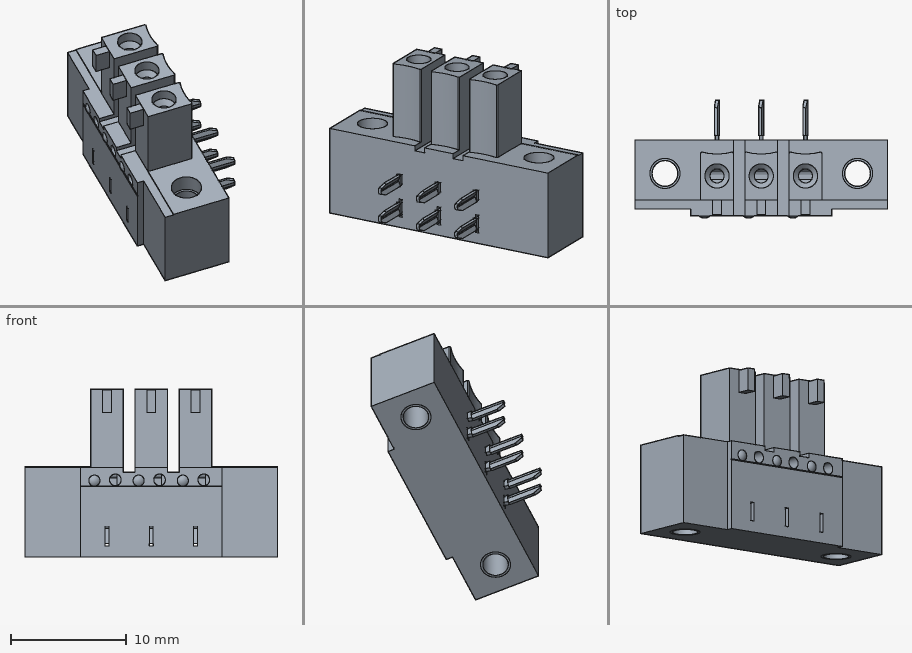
import cadquery as cq
import math


base_width = 21.82
base_front_y = -5.98
base_height = 7.81
deck_rear_y = -5.2
deck_height = 7.75
panel_width = 12.18
panel_front_y = -6.57
groove_top = 6.15
groove_height = 0.07
groove_depth = 0.07

pole_pitch = 3.82
pole_xs = [-pole_pitch, 0.0, pole_pitch]
pole_width = 2.84
pole_rear_y = -1.05
corner_width = 0.09
corner_length = 0.1
pole_rear_sag = 0.17
total_height = 14.5
gap_floor = 7.35

tab_width = 0.75
tab_front_y = -6.44
tab_bottom = 12.48
tab_top = 14.45

bore_y = -3.12
mouth_diameter = 2.1
mouth_depth = 0.95
throat_diameter = 1.2
cone_depth = (mouth_diameter - throat_diameter) / 2

test_hole_diameter = 1.0
test_hole_z = 6.68
test_hole_offset = 0.72
dome_diameter = 0.95
dome_z = 6.61
dome_offset = -1.1
dome_rise = 0.2
dome_root = 0.22

insert_spacing = 16.63
insert_xs = [-insert_spacing / 2, insert_spacing / 2]
insert_y = -2.9
insert_outer_diameter = 2.6
insert_inner_diameter = 2.2
insert_top = base_height - 1.53

cavity_width = 1.75
cavity_front_y = -5.24
cavity_rear_y = -1.75
cavity_bottom = 5.24
cavity_top = 7.53
nose_radius = 0.3
nose_bottom = 6.83
channel_rear_y = -2.53
channel_rear_slope = 0.22
channel_floor_rear_y = -2.97
channel_floor_front_y = -3.43
channel_wall_depth = 0.33
channel_front_slope = 0.33

slot_width = 0.33
slot_bottom = 0.98
slot_top = 2.62
blade_front_y = -2.62
blade_rear_y = -0.65
arm_bottom = 1.18
arm_top = 2.49
arm_front_y = -5.67
arm_front_slope = 0.44

tail_zs = [1.9, 4.47]
tail_tip_y = 3.43
neck_end_y = 0.4
neck_height = 0.87
tail_width = 0.45
tail_height = 1.1
tail_mouth_height = 0.95
tail_end_x = 0.02
tail_fold_height = 0.3
tail_floor_x = -0.02
tail_floor_height = 0.13
tail_taper_length = 0.72
tail_tip_height = 0.57


def box(x_min, x_max, y_min, y_max, z_min, z_max):
    size = (x_max - x_min, y_max - y_min, z_max - z_min)
    return cq.Workplane("XY").box(*size, centered=False).translate((x_min, y_min, z_min))


def centred_box(x, width, y_min, y_max, z_min, z_max):
    return box(x - width / 2, x + width / 2, y_min, y_max, z_min, z_max)


def upright_cylinder(x, y, diameter, z_min, z_max):
    return cq.Workplane("XY", origin=(x, y, z_min)).circle(diameter / 2).extrude(z_max - z_min)


def base():
    body = centred_box(0, base_width, base_front_y, 0, 0, base_height)
    body = body.union(centred_box(0, panel_width, panel_front_y, 0, 0, base_height))
    deck_relief = centred_box(0, base_width, panel_front_y, deck_rear_y, deck_height, base_height)
    return body.cut(deck_relief)


def panel_groove():
    return centred_box(0, panel_width, panel_front_y - dome_rise, panel_front_y + groove_depth,
                       groove_top - groove_height, groove_top)


def pole(x):
    half = pole_width / 2
    column = (
        cq.Workplane("XY", origin=(x, 0, gap_floor))
        .moveTo(-half, deck_rear_y)
        .lineTo(half, deck_rear_y)
        .lineTo(half, pole_rear_y - corner_length)
        .lineTo(half - corner_width, pole_rear_y)
        .threePointArc((0, pole_rear_y - pole_rear_sag), (corner_width - half, pole_rear_y))
        .lineTo(-half, pole_rear_y - corner_length)
        .close()
        .extrude(total_height - gap_floor)
    )
    tab = centred_box(x, tab_width, tab_front_y, deck_rear_y, tab_bottom, tab_top)
    return column.union(tab)


def pole_gap(x):
    gap_width = pole_pitch - pole_width
    return centred_box(x + pole_pitch / 2, gap_width, panel_front_y, 0, gap_floor, total_height)


def plug_opening(x):
    return (
        cq.Workplane("XZ", origin=(x, bore_y, 0))
        .moveTo(0, cavity_top)
        .lineTo(throat_diameter / 2, cavity_top)
        .lineTo(throat_diameter / 2, total_height - mouth_depth - cone_depth)
        .lineTo(mouth_diameter / 2, total_height - mouth_depth)
        .lineTo(mouth_diameter / 2, total_height)
        .lineTo(0, total_height)
        .close()
        .revolve(360, (0, 0, 0), (0, 1, 0))
    )


def test_hole(x):
    hole = cq.Workplane("XZ", origin=(x + test_hole_offset, panel_front_y, test_hole_z))
    return hole.circle(test_hole_diameter / 2).extrude(panel_front_y - cavity_front_y)


def dome(x):
    radius = dome_diameter / 2
    ball_radius = (radius ** 2 + dome_rise ** 2) / (2 * dome_rise)
    half_angle = math.asin(radius / ball_radius) / 2
    mid_x = ball_radius * math.sin(half_angle)
    mid_y = ball_radius * (1 - math.cos(half_angle)) - dome_rise
    return (
        cq.Workplane("XY", origin=(x + dome_offset, panel_front_y, dome_z))
        .moveTo(0, dome_root)
        .lineTo(radius, dome_root)
        .lineTo(radius, 0)
        .threePointArc((mid_x, mid_y), (0, -dome_rise))
        .close()
        .revolve(360, (0, 0, 0), (0, 1, 0))
    )


def contact_cavity(x):
    return centred_box(x, cavity_width, cavity_front_y, cavity_rear_y, cavity_bottom, cavity_top)


def base_slot(x):
    return centred_box(x, slot_width, panel_front_y, 0, slot_bottom, slot_top)


def contact_head(x):
    wall_end_y = channel_rear_y - channel_rear_slope
    wall_end_z = cavity_top - channel_wall_depth
    wall_angle = math.atan2(channel_wall_depth, channel_rear_slope)
    channel_floor = wall_end_z - (wall_end_y - channel_floor_rear_y) * math.tan(wall_angle / 2)
    nose_y = cavity_front_y + nose_radius
    nose_leg = nose_radius * math.sqrt(0.5)
    nose_z = nose_bottom + nose_radius
    return (
        cq.Workplane("YZ", origin=(x - cavity_width / 2, 0, 0))
        .moveTo(cavity_rear_y, cavity_bottom)
        .lineTo(cavity_rear_y, cavity_top)
        .lineTo(channel_rear_y, cavity_top)
        .lineTo(wall_end_y, wall_end_z)
        .tangentArcPoint((channel_floor_rear_y, channel_floor), relative=False)
        .lineTo(channel_floor_front_y, channel_floor)
        .lineTo(channel_floor_front_y - channel_front_slope, cavity_top)
        .lineTo(cavity_front_y, cavity_top)
        .lineTo(cavity_front_y, nose_z)
        .threePointArc((nose_y - nose_leg, nose_z - nose_leg), (nose_y, nose_bottom))
        .lineTo(nose_y, cavity_bottom)
        .close()
        .extrude(cavity_width)
    )


def contact_blade(x):
    plate = centred_box(x, slot_width, blade_front_y, blade_rear_y, arm_bottom, cavity_bottom)
    arm = (
        cq.Workplane("YZ", origin=(x - slot_width / 2, 0, 0))
        .polyline([
            (arm_front_y, arm_bottom),
            (blade_rear_y, arm_bottom),
            (blade_rear_y, arm_top),
            (arm_front_y + arm_front_slope, arm_top),
        ])
        .close()
        .extrude(slot_width)
    )
    return plate.union(arm)


def neck(x, z):
    return (
        cq.Workplane("YZ", origin=(x - slot_width / 2, 0, z))
        .polyline([
            (blade_rear_y, -neck_height / 2),
            (0, -neck_height / 2),
            (neck_end_y, -tail_height / 2),
            (neck_end_y, tail_height / 2),
            (0, neck_height / 2),
            (blade_rear_y, neck_height / 2),
        ])
        .close()
        .extrude(slot_width)
    )


def solder_tail(x, z):
    upper_half = [
        (tail_floor_x, tail_floor_height / 2),
        (-tail_width / 2, tail_mouth_height / 2),
        (tail_end_x, tail_height / 2),
        (tail_width / 2, tail_fold_height / 2),
    ]
    lower_half = [(px, -pz) for px, pz in reversed(upper_half)]
    strip = (
        cq.Workplane("XZ", origin=(x, neck_end_y, z))
        .polyline(upper_half + lower_half)
        .close()
        .extrude(neck_end_y - tail_tip_y)
    )
    taper_y = tail_tip_y - tail_taper_length
    outline = (
        cq.Workplane("YZ", origin=(x - tail_width / 2, 0, z))
        .polyline([
            (neck_end_y, -tail_height / 2),
            (taper_y, -tail_height / 2),
            (tail_tip_y, -tail_tip_height / 2),
            (tail_tip_y, tail_tip_height / 2),
            (taper_y, tail_height / 2),
            (neck_end_y, tail_height / 2),
        ])
        .close()
        .extrude(tail_width)
    )
    return strip.intersect(outline)


def make_contact(x):
    contact = contact_head(x).union(contact_blade(x))
    for z in tail_zs:
        contact = contact.union(neck(x, z)).union(solder_tail(x, z))
    return contact


def make_insert(x):
    outer = upright_cylinder(x, insert_y, insert_outer_diameter, 0, insert_top)
    return outer.cut(upright_cylinder(x, insert_y, insert_inner_diameter, 0, insert_top))


def make_housing():
    body = base()
    for x in pole_xs[:-1]:
        body = body.cut(pole_gap(x))
    for x in pole_xs:
        body = body.union(pole(x)).union(dome(x))
        body = body.cut(plug_opening(x)).cut(test_hole(x))
        body = body.cut(contact_cavity(x)).cut(base_slot(x)).cut(contact_blade(x))
        for z in tail_zs:
            body = body.cut(neck(x, z))
    body = body.cut(panel_groove())
    for x in insert_xs:
        body = body.cut(upright_cylinder(x, insert_y, insert_outer_diameter, 0, base_height))
    return body


housing = make_housing()
contacts = [make_contact(x) for x in pole_xs]
inserts = [make_insert(x) for x in insert_xs]

result = cq.Compound.makeCompound([
    housing.val(),
    *[contact.val() for contact in contacts],
    *[insert.val() for insert in inserts],
])